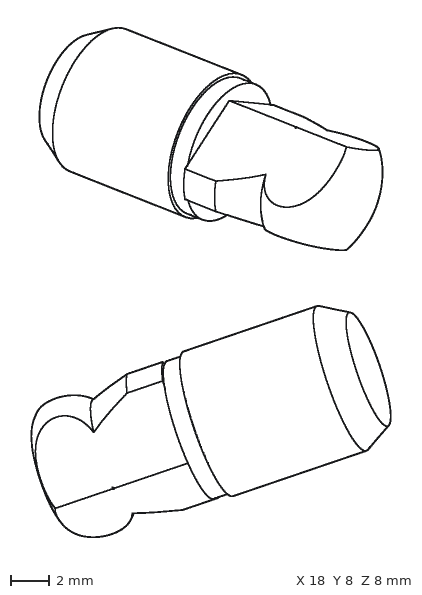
import cadquery as cq
import math

total_length = 18.0
outer_radius = 4.0
chamfer_length = 1.5
chamfer_angle = math.radians(30)
body_length = 9.0
collar_radius = 3.8
collar_end = 10.0
neck_end = 12.0
lobe_radius = outer_radius / 2
groove_to_lobe_center = 1.64
flat_distance = 2.75
flat_angle = math.radians(30)

end_face_radius = outer_radius - chamfer_length * math.tan(chamfer_angle)
lobe_center_x = total_length - lobe_radius
lobe_center_radius = outer_radius - lobe_radius
groove_x = lobe_center_x - groove_to_lobe_center
groove_radius = lobe_center_radius + math.sqrt(lobe_radius**2 - groove_to_lobe_center**2)


def revolve_about_x(profile):
    return profile.close().revolve(360, (0, 0, 0), (1, 0, 0))


def make_shank():
    """Chamfered cylinder with a slightly smaller collar."""
    return revolve_about_x(
        cq.Workplane("XY")
        .lineTo(0, end_face_radius)
        .lineTo(chamfer_length, outer_radius)
        .lineTo(body_length, outer_radius)
        .lineTo(body_length, collar_radius)
        .lineTo(collar_end, collar_radius)
        .lineTo(collar_end, 0)
    )


def make_round_head():
    """Neck tapering to a groove, followed by the rounded lobe."""
    return revolve_about_x(
        cq.Workplane("XY")
        .moveTo(collar_end, 0)
        .lineTo(collar_end, outer_radius)
        .lineTo(neck_end, outer_radius)
        .lineTo(groove_x, groove_radius)
        .threePointArc((lobe_center_x, outer_radius), (total_length, lobe_center_radius))
        .lineTo(total_length, 0)
    )


def make_flats_prism():
    """Rhombic prism whose four sides are the sloping flats of the head."""
    ridge_height = flat_distance / math.cos(flat_angle)
    half_width = flat_distance / math.sin(flat_angle)
    return (
        cq.Workplane("YZ", origin=(collar_end, 0, 0))
        .polyline([(0, ridge_height), (half_width, 0), (0, -ridge_height), (-half_width, 0)])
        .close()
        .extrude(total_length - collar_end)
    )


head = make_round_head().intersect(make_flats_prism())
result = make_shank().union(head)